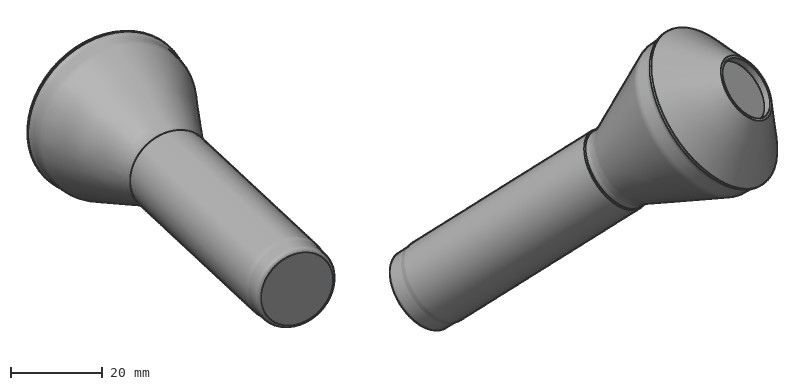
import cadquery as cq

total_length = 100.0

nose_diameter = 16.0
recess_diameter = 14.8
recess_depth = 1.7
cone_length = 9.7

rim_diameter = 39.5
rim_width = 0.6
head_diameter = 38.5
rim_fillet_end = 11.5
head_band_end = 14.2
shoulder_end = 15.7
shoulder_drop = 0.3

neck_diameter = 19.5
neck_blend_start = 36.5
neck_blend_rise = 0.4
neck_start = 38.3
handle_diameter = 20.0
handle_start = 39.5
handle_edge = 0.3
handle_end = 94.6
tail_start = 95.8
tail_diameter = neck_diameter
tail_rounding_length = 1.2
tail_rounding_drop = 0.9


def revolve_about_x(profile):
    """Turn a closed XY half profile about the X axis."""
    return profile.close().revolve(360, (0, 0, 0), (1, 0, 0))


def make_nose_cone():
    """Truncated cone with a shallow round recess in its small end."""
    profile = (
        cq.Workplane("XY")
        .moveTo(recess_depth, 0)
        .lineTo(recess_depth, recess_diameter / 2)
        .lineTo(0, recess_diameter / 2)
        .lineTo(0, nose_diameter / 2)
        .lineTo(cone_length, rim_diameter / 2)
        .lineTo(cone_length, 0)
    )
    return revolve_about_x(profile)


def make_handle():
    """Rimmed head tapering to a neck, then a cylindrical grip with a reduced tail."""
    head_radius = head_diameter / 2
    neck_radius = neck_diameter / 2
    handle_radius = handle_diameter / 2
    tail_radius = tail_diameter / 2
    rim_end = cone_length + rim_width
    rim_fillet_middle = (
        (rim_end + rim_fillet_end) / 2,
        head_radius + (rim_diameter / 2 - head_radius) / 4,
    )
    taper_direction = (
        neck_blend_start - shoulder_end,
        neck_radius + neck_blend_rise - (head_radius - shoulder_drop),
    )
    profile = (
        cq.Workplane("XY")
        .moveTo(cone_length, 0)
        .lineTo(cone_length, rim_diameter / 2)
        .lineTo(rim_end, rim_diameter / 2)
        .threePointArc(rim_fillet_middle, (rim_fillet_end, head_radius))
        .lineTo(head_band_end, head_radius)
        .tangentArcPoint((shoulder_end, head_radius - shoulder_drop), relative=False)
        .lineTo(neck_blend_start, neck_radius + neck_blend_rise)
        .spline([(neck_start, neck_radius)], tangents=[taper_direction, (1, 0)], includeCurrent=True)
        .lineTo(handle_start, neck_radius)
        .lineTo(handle_start + handle_edge, handle_radius)
        .lineTo(handle_end, handle_radius)
        .lineTo(tail_start, tail_radius)
        .lineTo(total_length - tail_rounding_length, tail_radius)
        .tangentArcPoint((total_length, tail_radius - tail_rounding_drop), relative=False)
        .lineTo(total_length, 0)
    )
    return revolve_about_x(profile)


nose_cone = make_nose_cone()
handle = make_handle()

result = cq.Compound.makeCompound([nose_cone.val(), handle.val()])